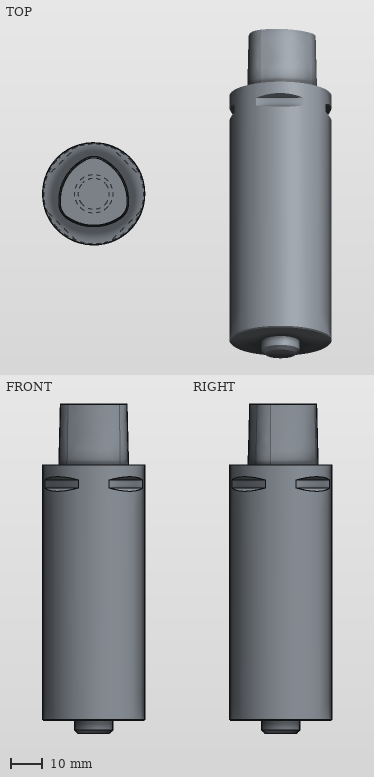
import cadquery as cq
import math

shank_length = 19.0
lobe_reach = 11.7
flank_reach = 10.3
lobe_radius = 5.85
lobe_count = 3
first_lobe_angle = 90.0
diameter_taper = 1 / 20

body_diameter = 32.0
body_length = 80.0
body_chamfer = 0.4

groove_count = 4
first_groove_angle = 45.0
groove_center_depth = 6.0
groove_floor_width = 2.5
groove_floor_distance = 14.2
groove_wall_angle = 30.0
groove_cutter_overshoot = 1.0

pin_diameter = 12.0
pin_length = 4.05
pin_chamfer = 1.15

body_radius = body_diameter / 2

lobe_center = lobe_reach - lobe_radius
reach_gap = flank_reach - lobe_radius
flank_center = (reach_gap**2 - lobe_center**2) / (lobe_center - 2 * reach_gap)
half_pitch = math.pi / lobe_count
lobe_half_angle = math.atan2(
    flank_center * math.sin(half_pitch),
    lobe_center + flank_center * math.cos(half_pitch),
)


def polar_point(radius, angle):
    return (radius * math.cos(angle), radius * math.sin(angle))


def lobe_point(lobe_angle, offset_angle, inset):
    """Point on a lobe arc, with the outline moved inward by inset."""
    center_x, center_y = polar_point(lobe_center, lobe_angle)
    arm_x, arm_y = polar_point(lobe_radius - inset, lobe_angle + offset_angle)
    return (center_x + arm_x, center_y + arm_y)


def polygon_outline(height, inset):
    """Closed three-lobed outline at a height, moved inward by inset."""
    start_angle = math.radians(first_lobe_angle)
    outline = cq.Workplane("XY").workplane(offset=height)
    outline = outline.moveTo(*lobe_point(start_angle, -lobe_half_angle, inset))
    for index in range(lobe_count):
        lobe_angle = start_angle + index * 2 * half_pitch
        next_lobe_angle = lobe_angle + 2 * half_pitch
        outline = outline.threePointArc(
            lobe_point(lobe_angle, 0, inset),
            lobe_point(lobe_angle, lobe_half_angle, inset),
        )
        outline = outline.threePointArc(
            polar_point(flank_reach - inset, lobe_angle + half_pitch),
            lobe_point(next_lobe_angle, -lobe_half_angle, inset),
        )
    return outline.close().wire().val()


def make_shank():
    end_inset = shank_length * diameter_taper / 2
    large_end = polygon_outline(0, 0)
    small_end = polygon_outline(shank_length, end_inset)
    return cq.Workplane(cq.Solid.makeLoft([large_end, small_end], True))


def make_groove_cutter():
    """Straight bar along Y that widens outward from the groove floor, on the +X side."""
    outer_distance = body_radius + groove_cutter_overshoot
    wall_spread = (outer_distance - groove_floor_distance) * math.tan(math.radians(groove_wall_angle))
    floor_half = groove_floor_width / 2
    outer_half = floor_half + wall_spread
    return (
        cq.Workplane("XZ")
        .moveTo(groove_floor_distance, -groove_center_depth - floor_half)
        .lineTo(outer_distance, -groove_center_depth - outer_half)
        .lineTo(outer_distance, -groove_center_depth + outer_half)
        .lineTo(groove_floor_distance, -groove_center_depth + floor_half)
        .close()
        .extrude(body_radius, both=True)
    )


def make_body():
    body = (
        cq.Workplane("XY")
        .circle(body_radius)
        .extrude(-body_length)
        .faces("<Z")
        .chamfer(body_chamfer)
    )
    cutter = make_groove_cutter()
    for index in range(groove_count):
        angle = first_groove_angle + index * 360 / groove_count
        body = body.cut(cutter.rotate((0, 0, 0), (0, 0, 1), angle))
    return body


def make_pin():
    return (
        cq.Workplane("XY")
        .workplane(offset=-body_length)
        .circle(pin_diameter / 2)
        .extrude(-pin_length)
        .faces("<Z")
        .chamfer(pin_chamfer)
    )


shank = make_shank()
body = make_body()
pin = make_pin()

result = cq.Compound.makeCompound([shank.val(), body.val(), pin.val()])